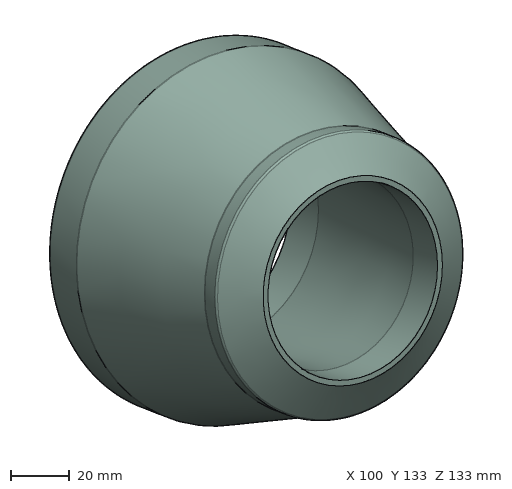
import cadquery as cq
import math

length = 100.0
large_radius = 66.5
small_radius = 101.6 / 2

large_bore_radius = 83.0 / 2
small_bore_radius = 69.5 / 2
large_bore_depth = 17.0
small_bore_depth = 14.9

bevel_angle = math.radians(30)
land_width = 2.0
large_land_radius = large_bore_radius + land_width
small_land_radius = small_bore_radius + land_width
large_bevel_length = (large_radius - large_land_radius) * math.tan(bevel_angle)
small_bevel_length = (small_radius - small_land_radius) * math.tan(bevel_angle)

cone_start = 30.0
cone_end = 85.1

edge_radius = 1.0


def revolve_about_x(profile):
    return profile.close().revolve(360, (0, 0, 0), (1, 0, 0))


body = revolve_about_x(
    cq.Workplane("XY")
    .moveTo(0, 0)
    .lineTo(0, large_land_radius)
    .lineTo(large_bevel_length, large_radius)
    .lineTo(cone_start, large_radius)
    .lineTo(cone_end, small_radius)
    .lineTo(length - small_bevel_length, small_radius)
    .lineTo(length, small_land_radius)
    .lineTo(length, 0)
)

bore = revolve_about_x(
    cq.Workplane("XY")
    .moveTo(0, 0)
    .lineTo(0, large_bore_radius)
    .lineTo(large_bore_depth, large_bore_radius)
    .lineTo(length - small_bore_depth, small_bore_radius)
    .lineTo(length, small_bore_radius)
    .lineTo(length, 0)
)

end_margin = 1.3
outer_corners = cq.selectors.BoxSelector(
    (end_margin, -length, -length),
    (length - end_margin, length, length),
)
rounded_body = body.edges("%CIRCLE").edges(outer_corners).fillet(edge_radius)

result = rounded_body.cut(bore)